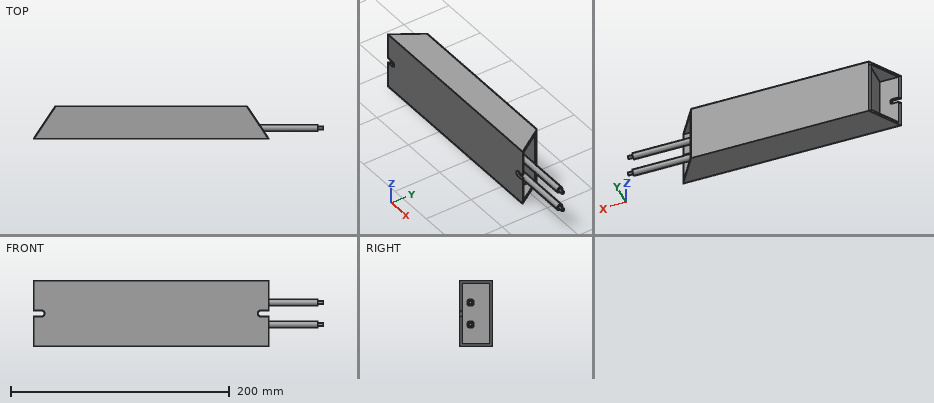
import cadquery as cq

base_length = 215.0
end_setback = 20.0
depth = 30.0
height = 60.0
wall = 2.5

slot_length = 10.0
slot_width = 5.3

wire_diameter = 6.2
wire_tip_diameter = 3.0
wire_tip_length = 5.0
wire_end = 265.0
wire_spacing = 20.0
wire_y = 10.0

core_start = end_setback
core_end = base_length - end_setback


def make_housing():
    """Tube along X with a trapezoidal outline; its base lies at Y = 0."""
    outline = [
        (0, 0),
        (base_length, 0),
        (base_length - end_setback, depth),
        (end_setback, depth),
    ]
    body = cq.Workplane("XY").polyline(outline).close().extrude(height / 2, both=True)
    bore = (
        cq.Workplane("YZ")
        .center(depth / 2, 0)
        .rect(depth - 2 * wall, height - 2 * wall)
        .extrude(base_length)
    )
    return body.cut(bore)


def make_core():
    """Solid filling between the two recessed end faces."""
    return (
        cq.Workplane("YZ", origin=(core_start, depth / 2, 0))
        .rect(depth - 2 * wall, height - 2 * wall)
        .extrude(core_end - core_start)
    )


def make_end_slot(end_x):
    """Round-ended slot cutter through the base wall, centred on one end."""
    return (
        cq.Workplane("XZ", origin=(end_x, 0, 0))
        .slot2D(2 * slot_length, slot_width)
        .extrude(-wall)
    )


def make_wire(z):
    """Insulated wire from the core with a thinner bare tip."""
    insulation_length = wire_end - wire_tip_length - core_end
    return (
        cq.Workplane("YZ", origin=(core_end, wire_y, z))
        .circle(wire_diameter / 2)
        .extrude(insulation_length)
        .faces(">X")
        .workplane()
        .circle(wire_tip_diameter / 2)
        .extrude(wire_tip_length)
    )


housing = make_housing()
for end_x in (0, base_length):
    housing = housing.cut(make_end_slot(end_x))

result = housing.union(make_core())
for z in (-wire_spacing / 2, wire_spacing / 2):
    result = result.union(make_wire(z))